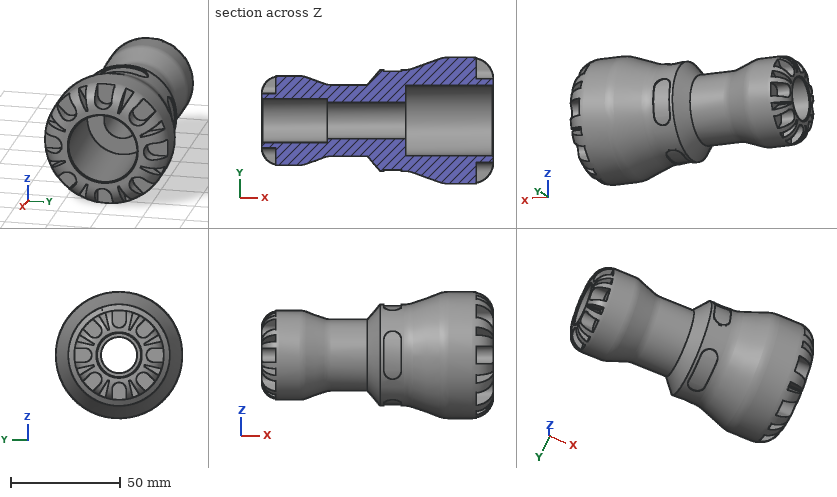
import cadquery as cq
import math

LENGTH = 106.0
NECK_R = 32.8 / 2
COLLAR_R = 46.4 / 2

SMALL_HEAD_R = 41.0 / 2
SMALL_ROUND = 8.0
SMALL_SLOT_DEPTH = 6.5
SMALL_SLOT_WIDTH = 6.4
SMALL_TAPER_START = 18.8
SMALL_TAPER_END = 30.2
SMALL_BLEND_R = 8.2

LARGE_HEAD_R = 58.0 / 2
LARGE_ROUND = 9.8
LARGE_SLOT_DEPTH = 7.8
LARGE_SLOT_WIDTH = 8.0
LARGE_TAPER_START = 67.3
LARGE_TAPER_END = 83.3
LARGE_BLEND_R = 12.0

RIM_SLOT_COUNT = 8
RIM_PITCH = 360.0 / RIM_SLOT_COUNT
NOTCH_HALF_ANGLE = 9.5
NOTCH_TIP_WIDTH = 0.7

COLLAR_CONE_START = 48.4
COLLAR_CONE_END = 54.2
RECESS_COUNT = 4
RECESS_CENTRE_X = 59.9
RECESS_WIDTH = 8.0
RECESS_LENGTH = 22.0
RECESS_DEPTH = 0.6

SMALL_BORE_R = 20.0 / 2
SMALL_BORE_DEPTH = 30.0
THROUGH_R = 16.4 / 2
LARGE_BORE_R = 32.0 / 2
LARGE_BORE_DEPTH = 40.0
MOUTH_CHAMFER = 0.5


def blend(corner_x, corner_r, incoming, outgoing, radius):
    """Start, middle and end of the arc that rounds a profile corner between two headings (radians)."""
    turn = outgoing - incoming
    setback = radius * math.tan(abs(turn) / 2)
    start = (corner_x - setback * math.cos(incoming), corner_r - setback * math.sin(incoming))
    end = (corner_x + setback * math.cos(outgoing), corner_r + setback * math.sin(outgoing))
    inset = radius / math.cos(turn / 2) - radius
    toward_centre = (incoming + outgoing) / 2 + math.copysign(math.pi / 2, turn)
    middle = (
        corner_x + inset * math.cos(toward_centre),
        corner_r + inset * math.sin(toward_centre),
    )
    return start, middle, end


def add_arc(profile, arc):
    """Run a straight line to the start of an arc, then follow the arc."""
    start, middle, end = arc
    return profile.lineTo(*start).threePointArc(middle, end)


def turned_body():
    """Solid of revolution of the outer profile."""
    quarter = math.pi / 2
    small_slope = math.atan2(NECK_R - SMALL_HEAD_R, SMALL_TAPER_END - SMALL_TAPER_START)
    large_slope = math.atan2(LARGE_HEAD_R - COLLAR_R, LARGE_TAPER_END - LARGE_TAPER_START)

    profile = cq.Workplane("XY").moveTo(0, 0)
    profile = add_arc(profile, blend(0, SMALL_HEAD_R, quarter, 0, SMALL_ROUND))
    profile = add_arc(profile, blend(SMALL_TAPER_START, SMALL_HEAD_R, 0, small_slope, SMALL_BLEND_R))
    profile = add_arc(profile, blend(SMALL_TAPER_END, NECK_R, small_slope, 0, SMALL_BLEND_R))
    profile = profile.lineTo(COLLAR_CONE_START, NECK_R).lineTo(COLLAR_CONE_END, COLLAR_R)
    profile = add_arc(profile, blend(LARGE_TAPER_START, COLLAR_R, 0, large_slope, LARGE_BLEND_R))
    profile = add_arc(profile, blend(LARGE_TAPER_END, LARGE_HEAD_R, large_slope, 0, LARGE_BLEND_R))
    profile = add_arc(profile, blend(LENGTH, LARGE_HEAD_R, 0, -quarter, LARGE_ROUND))
    profile = profile.lineTo(LENGTH, 0).close()
    return profile.revolve(360, (0, 0, 0), (1, 0, 0))


def bore():
    """Counterbored passage along the axis, chamfered at both mouths."""
    large_bore_start = LENGTH - LARGE_BORE_DEPTH
    profile = (
        cq.Workplane("XY")
        .moveTo(0, 0)
        .lineTo(0, SMALL_BORE_R + MOUTH_CHAMFER)
        .lineTo(MOUTH_CHAMFER, SMALL_BORE_R)
        .lineTo(SMALL_BORE_DEPTH, SMALL_BORE_R)
        .lineTo(SMALL_BORE_DEPTH, THROUGH_R)
        .lineTo(large_bore_start, THROUGH_R)
        .lineTo(large_bore_start, LARGE_BORE_R)
        .lineTo(LENGTH - MOUTH_CHAMFER, LARGE_BORE_R)
        .lineTo(LENGTH, LARGE_BORE_R + MOUTH_CHAMFER)
        .lineTo(LENGTH, 0)
        .close()
    )
    return profile.revolve(360, (0, 0, 0), (1, 0, 0))


def rim_cuts(start_x, depth, face_r, head_r, slot_width):
    """Slots and notches cut along X into a rounded rim, both reaching in to the flat end face."""
    slot_r = slot_width / 2
    plane = cq.Workplane("YZ", origin=(start_x, 0, 0))
    slot = (
        plane.moveTo(head_r, -slot_r)
        .lineTo(face_r + slot_r, -slot_r)
        .threePointArc((face_r, 0), (face_r + slot_r, slot_r))
        .lineTo(head_r, slot_r)
        .close()
        .extrude(depth)
    )
    tip_half_width = NOTCH_TIP_WIDTH / 2
    flare = (head_r - face_r) * math.tan(math.radians(NOTCH_HALF_ANGLE))
    notch_half_width = tip_half_width + flare
    notch = (
        plane.moveTo(face_r, tip_half_width)
        .lineTo(face_r, -tip_half_width)
        .lineTo(head_r, -notch_half_width)
        .lineTo(head_r, notch_half_width)
        .close()
        .extrude(depth)
        .rotate((0, 0, 0), (1, 0, 0), RIM_PITCH / 2)
    )
    pair = slot.union(notch)
    cuts = pair
    for index in range(1, RIM_SLOT_COUNT):
        cuts = cuts.union(pair.rotate((0, 0, 0), (1, 0, 0), index * RIM_PITCH))
    return cuts


def collar_recesses():
    """Obround recesses of even depth, facing the Y and Z directions."""
    band_floor_r = COLLAR_R - RECESS_DEPTH
    band = (
        cq.Workplane("YZ", origin=(RECESS_CENTRE_X - RECESS_WIDTH, 0, 0))
        .circle(LARGE_HEAD_R)
        .circle(band_floor_r)
        .extrude(2 * RECESS_WIDTH)
    )
    prism = (
        cq.Workplane("XY")
        .center(RECESS_CENTRE_X, 0)
        .slot2D(RECESS_LENGTH, RECESS_WIDTH, 90)
        .extrude(LARGE_HEAD_R)
    )
    prisms = prism
    for index in range(1, RECESS_COUNT):
        prisms = prisms.union(prism.rotate((0, 0, 0), (1, 0, 0), index * 360.0 / RECESS_COUNT))
    return prisms.intersect(band)


small_rim = rim_cuts(0, SMALL_SLOT_DEPTH, SMALL_HEAD_R - SMALL_ROUND, SMALL_HEAD_R, SMALL_SLOT_WIDTH)
large_rim = rim_cuts(
    LENGTH - LARGE_SLOT_DEPTH,
    LARGE_SLOT_DEPTH,
    LARGE_HEAD_R - LARGE_ROUND,
    LARGE_HEAD_R,
    LARGE_SLOT_WIDTH,
)

result = turned_body().cut(bore()).cut(small_rim).cut(large_rim).cut(collar_recesses())